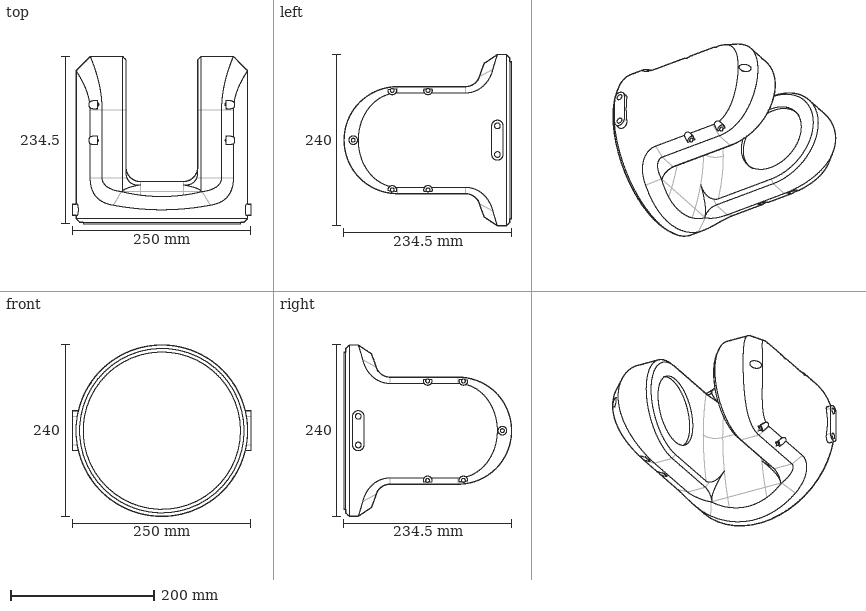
import cadquery as cq
import math

BODY_RADIUS = 120.0
RIM_CHAMFER = 5.0
PLATE_RADIUS = 110.0
PLATE_HEIGHT = 2.5

ARM_RADIUS = 75.0
PIVOT_Y = 157.0
ARM_TIP_Y = PIVOT_Y + ARM_RADIUS
DOME_RADIUS = 285.0
SLOT_DEPTH_BELOW_PIVOT = 100.0
DOME_TOP_Y = PIVOT_Y - SLOT_DEPTH_BELOW_PIVOT
DOME_CENTER_Y = DOME_TOP_Y - DOME_RADIUS
ROOT_FILLET = 20.0

SLOT_HALF_WIDTH = 50.0
SLOT_CORNER_RADIUS = 20.0
SLOT_EDGE_CHAMFER = 5.0
SLOT_MOUTH_HALF_WIDTH = SLOT_HALF_WIDTH + SLOT_EDGE_CHAMFER
SLOT_FLOOR_X = SLOT_HALF_WIDTH - SLOT_CORNER_RADIUS
POCKET_RADIUS = 50.0
POCKET_DEPTH = 5.0

BEVEL = 20.0
BALL_ORBIT = BODY_RADIUS - BEVEL
BEVEL_OVERCUT = 0.3
BEVEL_STEPS = 16

SCREW_Z = 69.5
SCREW_SPOTS = [(PIVOT_Y + 62.0, 0.0)]
for screw_y in (PIVOT_Y + 7.5, PIVOT_Y - 42.5):
    SCREW_SPOTS += [(screw_y, SCREW_Z), (screw_y, -SCREW_Z)]
COUNTERBORE_RADIUS = 6.0
COUNTERBORE_FLOOR_X = 90.0
SCREW_RADIUS = 2.8
SCREW_DEPTH = 15.0

PAD_Y = 17.5
PAD_WIDTH = 16.0
PAD_HOLE_SPACING = 40.0
PAD_FACE_X = 125.0
PAD_ROOT_X = 110.0
PAD_HOLE_RADIUS = 4.0
PAD_HOLE_DEPTH = 10.0
DRILL_POINT_ANGLE = 118.0

MARGIN = 25.0

SLOT_REACH = ARM_TIP_Y + MARGIN - DOME_CENTER_Y

ROOT_Z = ARM_RADIUS + ROOT_FILLET
ROOT_Y = DOME_CENTER_Y + math.sqrt((DOME_RADIUS + ROOT_FILLET) ** 2 - ROOT_Z**2)
DOME_TANGENT = math.asin(ROOT_Z / (DOME_RADIUS + ROOT_FILLET))
DOME_END = math.asin((BODY_RADIUS + MARGIN) / DOME_RADIUS)


def both_sides(shape):
    return shape.union(shape.mirror("YZ"))


def polar(center_y, center_z, radius, angle):
    """Point at an angle measured from +Y towards +Z."""
    return (center_y + radius * math.cos(angle), center_z + radius * math.sin(angle))


def make_fork():
    """Extruded fork outline: stadium tips, fillets and the dome reaching past the barrel."""
    root_angle = math.pi + DOME_TANGENT
    tangent = polar(ROOT_Y, ROOT_Z, ROOT_FILLET, root_angle)
    middle = polar(ROOT_Y, ROOT_Z, ROOT_FILLET, (root_angle + 1.5 * math.pi) / 2)
    dome_end = polar(DOME_CENTER_Y, 0, DOME_RADIUS, DOME_END)
    dome_middle = polar(DOME_CENTER_Y, 0, DOME_RADIUS, (DOME_TANGENT + DOME_END) / 2)
    return (
        cq.Workplane("YZ", origin=(-BODY_RADIUS, 0, 0))
        .moveTo(-MARGIN, dome_end[1])
        .lineTo(*dome_end)
        .threePointArc(dome_middle, tangent)
        .threePointArc(middle, (ROOT_Y, ARM_RADIUS))
        .lineTo(PIVOT_Y, ARM_RADIUS)
        .threePointArc((ARM_TIP_Y, 0), (PIVOT_Y, -ARM_RADIUS))
        .lineTo(ROOT_Y, -ARM_RADIUS)
        .threePointArc((middle[0], -middle[1]), (tangent[0], -tangent[1]))
        .threePointArc((dome_middle[0], -dome_middle[1]), (dome_end[0], -dome_end[1]))
        .lineTo(-MARGIN, -dome_end[1])
        .close()
        .extrude(2 * BODY_RADIUS)
    )


def make_barrel():
    return (
        cq.Workplane("XZ")
        .circle(BODY_RADIUS)
        .extrude(-ARM_TIP_Y - MARGIN)
        .faces("<Y")
        .chamfer(RIM_CHAMFER)
    )


def arm_section(x, inset):
    """Closed arm outline on the plane at x, shrunk by inset, with its root inside the dome."""
    fillet = ROOT_FILLET + inset
    height = ARM_RADIUS - inset
    root_angle = math.pi + DOME_TANGENT
    start = polar(ROOT_Y, ROOT_Z, fillet, root_angle)
    middle = polar(ROOT_Y, ROOT_Z, fillet, (root_angle + 1.5 * math.pi) / 2)
    return (
        cq.Workplane("YZ", origin=(x, 0, 0))
        .moveTo(*start)
        .threePointArc(middle, (ROOT_Y, height))
        .lineTo(PIVOT_Y, height)
        .threePointArc((PIVOT_Y + height, 0), (PIVOT_Y, -height))
        .lineTo(ROOT_Y, -height)
        .threePointArc((middle[0], -middle[1]), (start[0], -start[1]))
        .close()
        .wire()
        .val()
    )


def make_slot():
    """Space between the arms, with a floor that follows the dome and rounded corners."""
    corner_height = DOME_RADIUS + SLOT_CORNER_RADIUS
    diagonal = SLOT_CORNER_RADIUS * math.sqrt(0.5)
    return (
        cq.Workplane("XY", origin=(0, DOME_CENTER_Y, 0))
        .moveTo(-SLOT_HALF_WIDTH, SLOT_REACH)
        .lineTo(-SLOT_HALF_WIDTH, corner_height)
        .threePointArc((-SLOT_FLOOR_X - diagonal, corner_height - diagonal), (-SLOT_FLOOR_X, DOME_RADIUS))
        .lineTo(SLOT_FLOOR_X, DOME_RADIUS)
        .threePointArc((SLOT_FLOOR_X + diagonal, corner_height - diagonal), (SLOT_HALF_WIDTH, corner_height))
        .lineTo(SLOT_HALF_WIDTH, SLOT_REACH)
        .close()
        .revolve(360, (0, 0, 0), (1, 0, 0))
    )


def make_slot_edge_cutter():
    """Ring over the dome around a 45 degree tapered arm, chamfering the slot edge on the +X side."""
    depth = SLOT_MOUTH_HALF_WIDTH - SLOT_FLOOR_X
    sections = [arm_section(SLOT_FLOOR_X, depth), arm_section(SLOT_MOUTH_HALF_WIDTH, 0)]
    tapered_arm = cq.Workplane(cq.Solid.makeLoft(sections, True))
    return (
        cq.Workplane("YZ", origin=(SLOT_FLOOR_X, 0, 0))
        .center(DOME_CENTER_Y, 0)
        .circle(SLOT_REACH)
        .circle(DOME_RADIUS)
        .extrude(depth)
        .cut(tapered_arm)
    )


def bevel_section(ball_y, ball_z, normal, side=1):
    """Triangle across the edge: just past the fork face, just past the barrel, outside both."""
    ball_x = side * math.sqrt(max(BALL_ORBIT**2 - ball_z**2, 0))
    ball = cq.Vector(ball_x, ball_y, ball_z)
    to_fork = cq.Vector(0, *polar(0, 0, BEVEL, normal))
    to_barrel = cq.Vector(ball_x, 0, ball_z) * (BEVEL / BALL_ORBIT)
    overcut = (to_fork - to_barrel) * BEVEL_OVERCUT
    outside = ball + (to_fork + to_barrel) * (1 + BEVEL_OVERCUT)
    return ball + to_fork + overcut, ball + to_barrel - overcut, outside


def strip(sections):
    """Solid with a triangular section whose corners run along three smooth rails."""
    rails = [cq.Edge.makeSpline(list(rail)) for rail in zip(*sections)]
    faces = [cq.Face.makeRuledSurface(rails[i - 1], rails[i]) for i in range(len(rails))]
    for end in (sections[0], sections[-1]):
        faces.append(cq.Face.makeFromWires(cq.Wire.makePolygon(list(end), close=True)))
    return cq.Workplane(cq.Solid.makeSolid(cq.Shell.makeShell(faces)))


def spread(first, last):
    """Evenly spaced values from first to last."""
    return [first + (last - first) * i / BEVEL_STEPS for i in range(BEVEL_STEPS + 1)]


def dome_bevel():
    """Bevel over the top of the barrel, stepped by the angle of the ball around the barrel axis."""
    orbit = DOME_RADIUS - BEVEL
    limit = math.acos(orbit * math.sin(DOME_TANGENT) / BALL_ORBIT)
    sections = []
    for turn in spread(-limit, limit):
        ball_z = BALL_ORBIT * math.cos(turn)
        normal = math.asin(ball_z / orbit)
        ball_y = DOME_CENTER_Y + orbit * math.cos(normal)
        sections.append(bevel_section(ball_y, ball_z, normal, math.copysign(1, turn)))
    return strip(sections)


def root_bevel():
    sections = []
    for normal in spread(DOME_TANGENT, math.pi / 2):
        ball = polar(ROOT_Y, ROOT_Z, -(ROOT_FILLET + BEVEL), normal)
        sections.append(bevel_section(*ball, normal))
    return strip(sections)


def flat_bevel():
    ends = (ROOT_Y, PIVOT_Y)
    return strip([bevel_section(y, ARM_RADIUS - BEVEL, math.pi / 2) for y in ends])


def tip_bevel():
    sections = []
    for normal in spread(-math.pi / 2, math.pi / 2):
        ball = polar(PIVOT_Y, 0, ARM_RADIUS - BEVEL, normal)
        sections.append(bevel_section(*ball, normal))
    return strip(sections)


def cut_bevels(body):
    cutters = [dome_bevel(), dome_bevel().mirror("XY")]
    cutters += [tip_bevel(), tip_bevel().mirror("YZ")]
    for quarter in (root_bevel(), flat_bevel()):
        lower = quarter.mirror("XY")
        cutters += [quarter, lower, quarter.mirror("YZ"), lower.mirror("YZ")]
    for cutter in cutters:
        body = body.cut(cutter)
    return body


def make_pockets():
    pocket = (
        cq.Workplane("YZ", origin=(SLOT_HALF_WIDTH, 0, 0))
        .center(PIVOT_Y, 0)
        .circle(POCKET_RADIUS)
        .extrude(POCKET_DEPTH)
    )
    return both_sides(pocket)


def make_screw_holes():
    floor = cq.Workplane("YZ", origin=(COUNTERBORE_FLOOR_X, 0, 0)).pushPoints(SCREW_SPOTS)
    holes = floor.circle(COUNTERBORE_RADIUS).extrude(BODY_RADIUS - COUNTERBORE_FLOOR_X)
    return both_sides(holes.union(floor.circle(SCREW_RADIUS).extrude(-SCREW_DEPTH)))


def make_pad():
    """Round-ended pad standing out on the +X side."""
    return (
        cq.Workplane("YZ", origin=(PAD_ROOT_X, 0, 0))
        .center(PAD_Y, 0)
        .slot2D(PAD_HOLE_SPACING + PAD_WIDTH, PAD_WIDTH, 90)
        .extrude(PAD_FACE_X - PAD_ROOT_X)
    )


def make_pad_holes():
    """Blind holes in both pads, ending in a drill point."""
    point_height = PAD_HOLE_RADIUS / math.tan(math.radians(DRILL_POINT_ANGLE / 2))
    bottom_x = PAD_FACE_X - PAD_HOLE_DEPTH
    drill = (
        cq.Workplane("XY")
        .moveTo(PAD_FACE_X, 0)
        .lineTo(PAD_FACE_X, PAD_HOLE_RADIUS)
        .lineTo(bottom_x, PAD_HOLE_RADIUS)
        .lineTo(bottom_x - point_height, 0)
        .close()
        .revolve(360, (0, 0, 0), (1, 0, 0))
    )
    upper = drill.translate((0, PAD_Y, PAD_HOLE_SPACING / 2))
    return both_sides(upper.union(upper.mirror("XY")))


def make_plate():
    return cq.Workplane("XZ").circle(PLATE_RADIUS).extrude(PLATE_HEIGHT)


body = make_barrel().intersect(make_fork())
body = body.cut(make_slot())
body = body.cut(both_sides(make_slot_edge_cutter()))
body = cut_bevels(body)
body = body.cut(make_pockets())
body = body.cut(make_screw_holes())
body = body.union(both_sides(make_pad()))
body = body.cut(make_pad_holes())
result = body.union(make_plate()).clean()